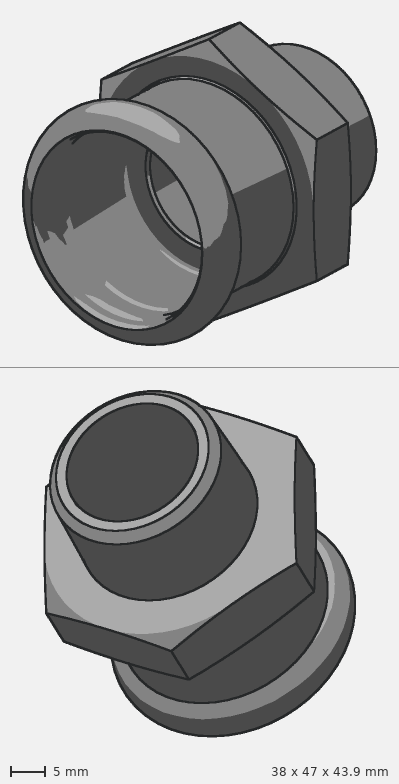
import cadquery as cq
import math

total_length = 47.0

across_flats = 38.0
hex_start = 21.85
hex_end = 31.0
hex_chamfer_angle = 15.0
collar = 0.35

tube_radius = 31.4 / 2
bead_length = 7.35
bead_crest_radius = 18.4

thread_base_radius = 13.5
thread_tip_radius = 13.0
tip_chamfer = 1.4

mouth_rim_radius = 15.1
mouth_radius = 14.6
mouth_depth = 0.9
mouth_round = 1.18
rib_start = 2.4
rib_end = 5.45
lead_in_start = 7.0
lead_in_end = 7.8
socket_radius = 28.8 / 2
rib_radius = socket_radius
socket_depth = 21.6
floor_fillet = 0.65

bore_radius = 20.0 / 2
bore_chamfer = 0.45

HALF_SECTOR = math.pi / 6
ROUND = math.sqrt(0.5)


def revolve(profile):
    """Revolve a closed (radius, Y) profile about the Y axis."""
    return profile.close().revolve(360, (0, 0, 0), (0, 1, 0))


def make_body():
    """Outside of the tube, bead and thread stub, still solid."""
    return revolve(
        cq.Workplane("XY")
        .lineTo(mouth_rim_radius, 0)
        .threePointArc((bead_crest_radius, bead_length / 2), (tube_radius, bead_length))
        .lineTo(tube_radius, hex_start - collar)
        .lineTo(tube_radius + collar, hex_start)
        .lineTo(tube_radius + collar, hex_end)
        .lineTo(thread_base_radius, hex_end + collar)
        .lineTo(thread_tip_radius, total_length - tip_chamfer)
        .lineTo(thread_tip_radius - tip_chamfer, total_length)
        .lineTo(0, total_length)
    )


def make_hexagon():
    """Hexagon with corners on Z, both ends trimmed by shallow cones that touch the flats."""
    flat_radius = across_flats / 2
    corner_radius = flat_radius / math.cos(HALF_SECTOR)
    prism = (
        cq.Workplane("XZ", origin=(0, hex_start, 0))
        .polygon(6, 2 * corner_radius)
        .extrude(hex_start - hex_end)
        .rotate((0, 0, 0), (0, 1, 0), math.degrees(HALF_SECTOR))
    )
    envelope_margin = 0.45
    drop = (corner_radius + envelope_margin - flat_radius) * math.tan(math.radians(hex_chamfer_angle))
    envelope = revolve(
        cq.Workplane("XY")
        .moveTo(0, hex_start)
        .lineTo(flat_radius, hex_start)
        .lineTo(corner_radius + envelope_margin, hex_start + drop)
        .lineTo(corner_radius + envelope_margin, hex_end - drop)
        .lineTo(flat_radius, hex_end)
        .lineTo(0, hex_end)
    )
    return prism.intersect(envelope)


def make_cavity():
    """Socket with rounded mouth and a shallow inner rib, followed by the through bore."""
    floor_arc = floor_fillet * (1 - ROUND)
    rib_middle = (rib_start + rib_end) / 2
    return revolve(
        cq.Workplane("XY")
        .lineTo(mouth_rim_radius, 0)
        .radiusArc((mouth_radius, mouth_depth), mouth_round)
        .lineTo(mouth_radius, rib_start)
        .threePointArc((rib_radius, rib_middle), (mouth_radius, rib_end))
        .lineTo(mouth_radius, lead_in_start)
        .lineTo(socket_radius, lead_in_end)
        .lineTo(socket_radius, socket_depth - floor_fillet)
        .threePointArc(
            (socket_radius - floor_arc, socket_depth - floor_arc),
            (socket_radius - floor_fillet, socket_depth),
        )
        .lineTo(bore_radius + bore_chamfer, socket_depth)
        .lineTo(bore_radius, socket_depth + bore_chamfer)
        .lineTo(bore_radius, total_length)
        .lineTo(0, total_length)
    )


result = make_body().union(make_hexagon()).cut(make_cavity())